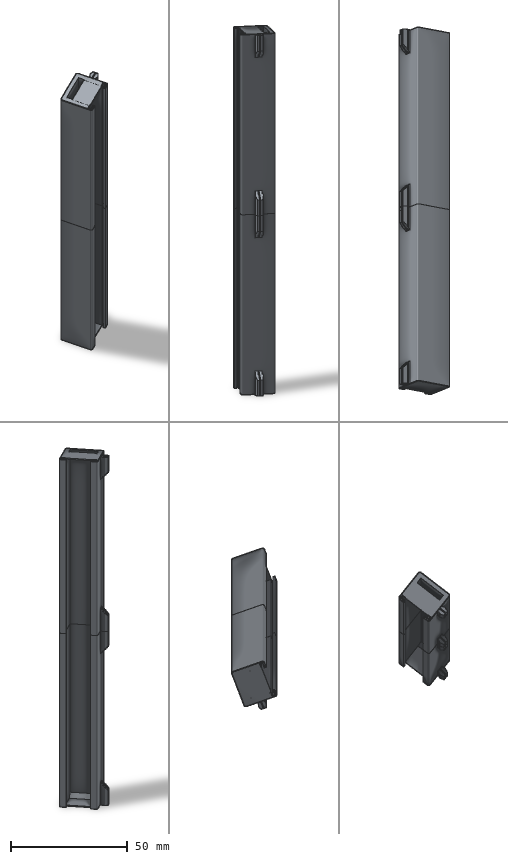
import cadquery as cq

total_length = 158.0
width = 15.0
total_depth = 20.2
clip_height = 3.3
half_length = total_length / 2
front_y = -total_depth / 2
rear_y = total_depth / 2 - clip_height
body_depth = rear_y - front_y
center_y = (front_y + rear_y) / 2

corner_radius = 1.0
end_chamfer = 0.24
back_wall = 2.0
side_wall = 2.4
lip_wall = 1.0
lip_thickness = 1.0
lip_length = 3.2
lid_gap = 1.0
lid_x = width - lip_thickness
wall_end_x = lid_x - lid_gap
cavity_depth = body_depth - 2 * side_wall
lid_groove_depth = body_depth - 2 * lip_wall
mouth_depth = body_depth - 2 * lip_length

plate_thickness = 0.5
slot_width = 2.5
slot_end_x = back_wall + slot_width
ramp_size = 2.0

clip_length = 10.3
clip_neck_width = 3.0
clip_head_width = 3.6
clip_tip_width = 2.4
clip_neck_end = 0.6
clip_head_start = 1.6
clip_slit = 0.5


def centered_block(x_start, x_end, depth, z_start, z_end):
    """Box from x_start to x_end and z_start to z_end, centred on the channel in Y."""
    return (
        cq.Workplane("XY", origin=((x_start + x_end) / 2, center_y, z_start))
        .rect(x_end - x_start, depth)
        .extrude(z_end - z_start)
    )


def make_channel(z_start, outer_end):
    """Half of the C-shaped channel; outer_end selects the end face that is chamfered."""
    z_end = z_start + half_length
    channel = centered_block(0, width, body_depth, z_start, z_end).edges("|Z").fillet(corner_radius)
    lid_groove = centered_block(wall_end_x, lid_x, lid_groove_depth, z_start, z_end)
    mouth = centered_block(lid_x, width, mouth_depth, z_start, z_end)
    channel = channel.cut(lid_groove).cut(mouth)
    channel = channel.faces(outer_end).edges().chamfer(end_chamfer)
    cavity = centered_block(back_wall, wall_end_x, cavity_depth, z_start, z_end)
    return channel.cut(cavity)


def make_clip():
    """Barbed clip rising from z = 0, slit along its middle and tapered at its upper end."""
    right_flank = [
        (clip_neck_width / 2, 0),
        (clip_neck_width / 2, clip_neck_end),
        (clip_head_width / 2, clip_head_start),
        (clip_tip_width / 2, clip_height),
    ]
    left_flank = [(-x, y) for x, y in reversed(right_flank)]
    bar = (
        cq.Workplane("XY", origin=(width / 2, rear_y, 0))
        .polyline(right_flank + left_flank)
        .close()
        .extrude(clip_length)
    )
    slit = (
        cq.Workplane("XY", origin=(width / 2, rear_y + clip_height / 2, 0))
        .rect(clip_slit, clip_height)
        .extrude(clip_length)
    )
    taper = (
        cq.Workplane("YZ", origin=(0, rear_y, clip_length))
        .polyline([(0, 0), (clip_height, -clip_height), (clip_height, 0)])
        .close()
        .extrude(width)
    )
    return bar.cut(slit).cut(taper)


def add_clips(half, z_start):
    """Put a clip at each end of a half, with the tapers facing each other."""
    clip = make_clip()
    lower_clip = clip.translate((0, 0, z_start))
    upper_clip = clip.mirror("XY").translate((0, 0, z_start + half_length))
    return half.union(lower_clip).union(upper_clip)


def make_upper_half():
    """Upper half: its end plate leaves a slot along the back wall."""
    plate = centered_block(
        slot_end_x, wall_end_x, cavity_depth, total_length - plate_thickness, total_length
    )
    half = add_clips(make_channel(half_length, ">Z"), half_length)
    return half.union(plate, clean=False)


def make_lower_half():
    """Lower half: its end plate is closed, with a 45 degree ramp along the back wall."""
    plate = centered_block(back_wall, wall_end_x, cavity_depth, 0, plate_thickness)
    ramp = (
        cq.Workplane("XZ", origin=(back_wall, center_y + cavity_depth / 2, plate_thickness))
        .polyline([(0, 0), (ramp_size, 0), (0, ramp_size)])
        .close()
        .extrude(cavity_depth)
    )
    half = make_channel(0, "<Z").union(plate).union(ramp)
    return add_clips(half, 0)


upper_half = make_upper_half().solids()
lower_half = make_lower_half().solids()

result = cq.Compound.makeCompound([upper_half.val(), lower_half.val()])